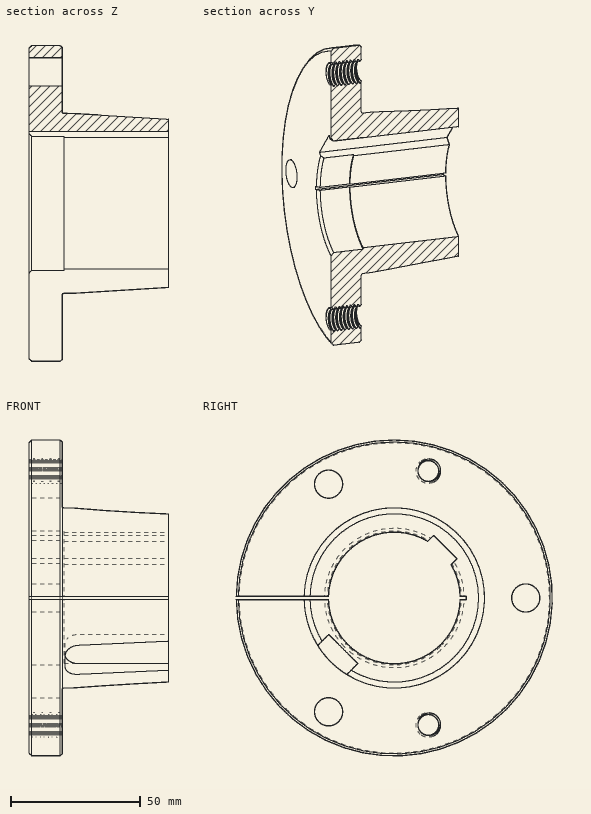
import cadquery as cq
import math


flange_radius = 122.2 / 2
flange_thickness = 12.9
front_edge_chamfer = 1.1
rear_edge_chamfer = 0.8

total_length = 54.0
neck_radius = 34.85
neck_end_x = 17.0
barrel_end_radius = 32.55
neck_fillet = 0.6

bore_radius = 25.4
entry_bore_radius = 25.9
entry_bore_depth = 13.5
bore_chamfer = 1.1

slit_width = 1.2
relief_slot_reach = 27.75

bore_key_width = 12.7
bore_key_reach = 27.8
bore_key_angle = 45.0

outer_key_width = 15.875
outer_key_floor = 27.9
outer_key_start_x = 14.0
outer_key_corner_radius = 5.0
outer_key_angle = bore_key_angle + 180.0

bolt_circle_radius = 50.8
clearance_hole_diameter = 10.8
clearance_hole_angles = (0.0, 120.0, 240.0)
threaded_hole_angles = (75.0, -75.0)

thread_major_radius = 9.525 / 2
thread_pitch = 25.4 / 16
thread_depth = 0.5 * thread_pitch
thread_minor_radius = thread_major_radius - thread_depth
thread_crest_width = thread_pitch / 4
thread_root_width = thread_pitch / 8
thread_overlap = 0.1

overrun = 2.0


def place_about_axis(tool, angle):
    """Turn a tool built towards +Y about the X axis, from +Y towards +Z."""
    return tool.rotate((0, 0, 0), (1, 0, 0), angle)


def box_along_x(y_start, y_end, width):
    """Full-length box spanning y_start to y_end, centred on Z."""
    return cq.Workplane("XY").box(
        total_length + 2 * overrun, y_end - y_start, width, centered=(False, False, True)
    ).translate((-overrun, y_start, 0))


def make_body():
    """Revolve the half section of flange, barrel and stepped bore."""
    return (
        cq.Workplane("XZ")
        .moveTo(0, entry_bore_radius + bore_chamfer)
        .lineTo(0, flange_radius - front_edge_chamfer)
        .lineTo(front_edge_chamfer, flange_radius)
        .lineTo(flange_thickness - rear_edge_chamfer, flange_radius)
        .lineTo(flange_thickness, flange_radius - rear_edge_chamfer)
        .lineTo(flange_thickness, neck_radius + neck_fillet)
        .radiusArc((flange_thickness + neck_fillet, neck_radius), -neck_fillet)
        .lineTo(neck_end_x, neck_radius)
        .lineTo(total_length, barrel_end_radius)
        .lineTo(total_length, bore_radius)
        .lineTo(entry_bore_depth, bore_radius)
        .lineTo(entry_bore_depth, entry_bore_radius)
        .lineTo(bore_chamfer, entry_bore_radius)
        .close()
        .revolve(360, (0, 0, 0), (1, 0, 0))
    )


def make_outer_key_seat():
    """Key seat open at the barrel end, with rounded corners at its closed end."""
    seat_length = total_length + overrun - outer_key_start_x
    seat_depth = neck_radius + overrun - outer_key_floor
    return (
        cq.Workplane("XY")
        .box(seat_length, seat_depth, outer_key_width, centered=(False, False, True))
        .edges("|Y and <X")
        .fillet(outer_key_corner_radius)
        .translate((outer_key_start_x, outer_key_floor, 0))
    )


def make_hole_cutter(radius):
    """Cylinder along X through the flange, on the X axis."""
    cutter_length = flange_thickness + 2 * overrun
    return cq.Workplane("YZ").circle(radius).extrude(cutter_length).translate((-overrun, 0, 0))


def make_thread_groove():
    """Helical V groove along X whose root lies towards +Y at the flange front face."""
    turns_before_face = 2
    start_x = -turns_before_face * thread_pitch
    helix_length = flange_thickness - start_x + overrun
    inner_radius = thread_minor_radius - thread_overlap
    flank_slope = (thread_pitch - thread_crest_width - thread_root_width) / 2 / thread_depth
    root_half = thread_root_width / 2
    inner_half = root_half + flank_slope * (thread_depth + thread_overlap)
    helix = cq.Wire.makeHelix(thread_pitch, helix_length, thread_minor_radius)
    groove = (
        cq.Workplane("XZ")
        .polyline([
            (inner_radius, -inner_half),
            (thread_major_radius, -root_half),
            (thread_major_radius, root_half),
            (inner_radius, inner_half),
        ])
        .close()
        .sweep(cq.Workplane(helix), isFrenet=True)
    )
    along_x = groove.rotate((0, 0, 0), (0, 1, 0), 90)
    started_at_y = along_x.rotate((0, 0, 0), (1, 0, 0), 90)
    return started_at_y.translate((start_x, 0, 0))


def cut_at_bolt_circle(part, cutter, angle):
    """Cut a tool into the flange at an angle on the bolt circle, without turning the tool."""
    y = bolt_circle_radius * math.cos(math.radians(angle))
    z = bolt_circle_radius * math.sin(math.radians(angle))
    return part.cut(cutter.translate((0, y, z)))


result = make_body()

result = result.cut(box_along_x(-flange_radius - overrun, 0, slit_width))
result = result.cut(box_along_x(0, relief_slot_reach, slit_width))
result = result.cut(place_about_axis(box_along_x(0, bore_key_reach, bore_key_width), bore_key_angle))
result = result.cut(place_about_axis(make_outer_key_seat(), outer_key_angle))

clearance_cutter = make_hole_cutter(clearance_hole_diameter / 2)
for hole_angle in clearance_hole_angles:
    result = cut_at_bolt_circle(result, clearance_cutter, hole_angle)

tap_drill_cutter = make_hole_cutter(thread_minor_radius)
thread_groove = make_thread_groove()
for hole_angle in threaded_hole_angles:
    result = cut_at_bolt_circle(result, thread_groove, hole_angle)
    result = cut_at_bolt_circle(result, tap_drill_cutter, hole_angle)

result = cq.Workplane(result.solids().val())